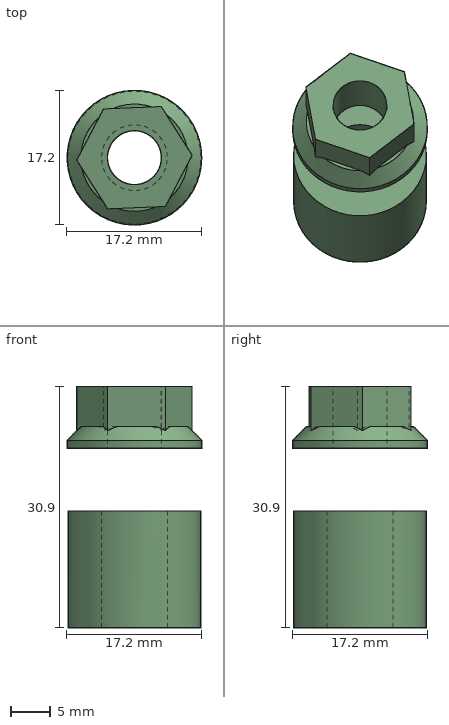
import math

import cadquery as cq

total_height = 30.9

sleeve_diameter = 17.0
sleeve_bore = 8.4
sleeve_height = 15.0

nut_bottom = 23.0
nut_height = total_height - nut_bottom
nut_bore = 6.85
flange_diameter = 17.25
flange_rim_height = 1.02
flange_cone_height = 1.75
hex_across_flats = 12.8
hex_across_corners = hex_across_flats / math.cos(math.radians(30))
hex_turn = 2.4


def make_sleeve():
    """Straight tube standing on the XY plane."""
    return (
        cq.Workplane("XY")
        .circle(sleeve_diameter / 2)
        .circle(sleeve_bore / 2)
        .extrude(sleeve_height)
    )


def make_flange():
    """Round rim with a conical top face, built up from Z = 0."""
    rim_radius = flange_diameter / 2
    top_radius = rim_radius - flange_cone_height
    top_height = flange_rim_height + flange_cone_height
    return (
        cq.Workplane("XZ")
        .moveTo(0, 0)
        .lineTo(rim_radius, 0)
        .lineTo(rim_radius, flange_rim_height)
        .lineTo(top_radius, top_height)
        .lineTo(0, top_height)
        .close()
        .revolve(360, (0, 0, 0), (0, 1, 0))
    )


def make_nut():
    """Hexagon rising from the flange, with a through bore."""
    hexagon = (
        cq.Workplane("XY")
        .polygon(6, hex_across_corners)
        .extrude(nut_height)
        .rotate((0, 0, 0), (0, 0, 1), hex_turn)
    )
    bore = cq.Workplane("XY").circle(nut_bore / 2).extrude(nut_height)
    nut = make_flange().union(hexagon).cut(bore)
    return nut.translate((0, 0, nut_bottom))


sleeve = make_sleeve()
nut = make_nut()
result = cq.Compound.makeCompound([sleeve.val(), nut.solids().val()])